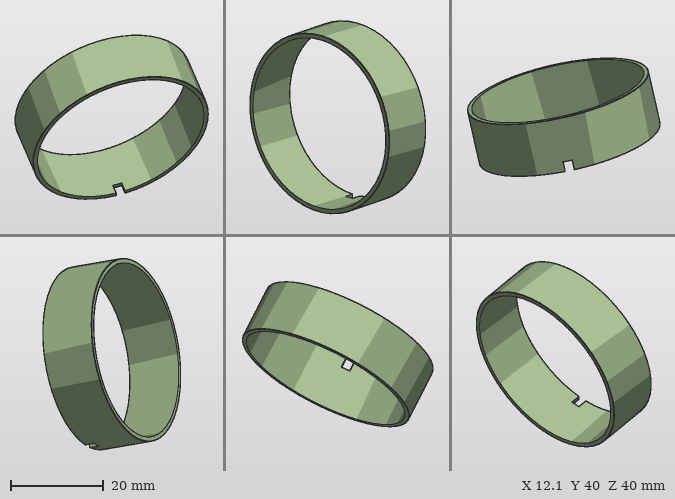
import cadquery as cq

outer_diameter = 40.0
wall_thickness = 1.0
ring_width = 12.1
edge_chamfer = 0.1

notch_width = 2.0
notch_depth = 2.25

outer_radius = outer_diameter / 2
inner_radius = outer_radius - wall_thickness


def make_ring():
    """Plain ring centred on the origin, with both outer rims chamfered."""
    outer = (
        cq.Workplane("YZ", origin=(-ring_width / 2, 0, 0))
        .circle(outer_radius)
        .extrude(ring_width)
        .faces("<X or >X")
        .edges()
        .chamfer(edge_chamfer)
    )
    bore = cq.Workplane("YZ", origin=(-ring_width / 2, 0, 0)).circle(inner_radius).extrude(ring_width)
    return outer.cut(bore)


def make_notch():
    """Block that cuts the notch, reaching from the ring axis out through the wall."""
    return (
        cq.Workplane("XY")
        .box(notch_depth, notch_width, outer_radius, centered=(False, True, False))
        .translate((ring_width / 2 - notch_depth, 0, -outer_radius))
    )


result = make_ring().cut(make_notch())